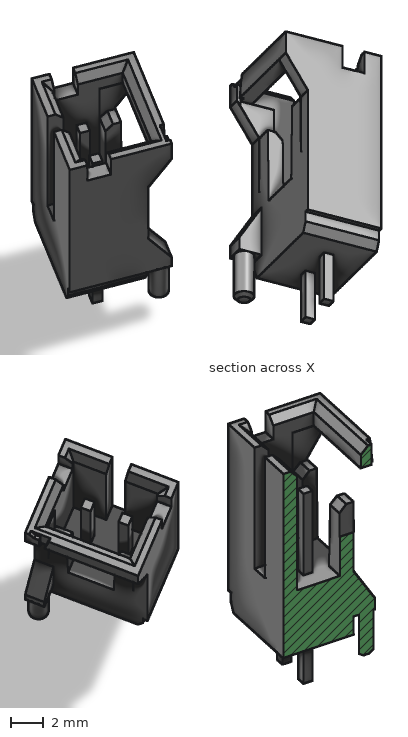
import cadquery as cq


width = 7.493
depth = 6.6
housing_height = 13.59
half_width = width / 2
front_y = -depth / 2
rear_y = depth / 2
overhang = 1.52
body_rear_y = rear_y - overhang

side_wall = 0.95
front_wall = 1.02
rear_wall = 1.03
floor_z = 4.69
funnel = 0.51
cavity_half_width = half_width - side_wall
cavity_front_y = front_y + front_wall
cavity_rear_y = rear_y - rear_wall
rear_bridge_height = 1.52

overhang_straight = 1.52
overhang_slope_end = 3.78
block_straight_z = 2.2

base_height = 1.33
base_inset = 0.3
base_chamfer_width = 0.33
base_chamfer_height = 0.64

slot_width = 1.25
notch_depth = 1.52
notch_front_y = -2.15
notch_rear_y = -0.63
window_half_width = 2.81
window_front_y = 0.76

post_height = 5.08
post_inner_x = 1.51
post_outer_x = 2.84
post_draft = 0.12
post_chamfer = 0.5

pin_pitch = 2.5
pin_size = 0.65
pin_y = -0.79
pin_tail = 3.3
pin_mating_length = 6.0

peg_diameter = 1.27
peg_bottom_z = -1.78
peg_chamfer = 0.25

mark_left_x = 2.17
mark_right_x = 3.46
mark_channel_left_x = 2.46
mark_channel_right_x = 2.82
mark_step_right_x = 3.13
mark_step_depth = 0.38
mark_depth = 0.25


def box(x0, x1, y0, y1, z0, z1):
    """Box between two opposite corners."""
    return cq.Workplane("XY").box(x1 - x0, y1 - y0, z1 - z0, centered=False).translate((x0, y0, z0))


def side_profile(points, x0, x1):
    """Closed outline of (y, z) points extruded from x0 to x1."""
    return cq.Workplane("YZ").polyline(points).close().extrude(x1 - x0).translate((x0, 0, 0))


def front_profile(points, y0, y1):
    """Closed outline of (x, z) points extruded from y0 to y1."""
    return cq.Workplane("XZ").polyline(points).close().extrude(y0 - y1).translate((0, y0, 0))


def make_outer_body():
    """Housing block with the rim overhang, standing on its narrower base."""
    shell = side_profile(
        [
            (front_y, base_height),
            (body_rear_y, base_height),
            (body_rear_y, housing_height - overhang_slope_end),
            (rear_y, housing_height - overhang_straight),
            (rear_y, housing_height),
            (front_y, housing_height),
        ],
        -half_width,
        half_width,
    )
    base_half = half_width - base_inset
    bottom_half = base_half - base_chamfer_width
    base = front_profile(
        [
            (-bottom_half, 0),
            (bottom_half, 0),
            (base_half, base_chamfer_height),
            (base_half, base_height),
            (-base_half, base_height),
            (-base_half, base_chamfer_height),
        ],
        front_y,
        body_rear_y,
    )
    return shell.union(base)


def make_cavity():
    """Mating cavity, open to the rear below the rim bridge."""
    pocket = box(
        -cavity_half_width, cavity_half_width, cavity_front_y, cavity_rear_y, floor_z, housing_height
    )
    window = box(
        -window_half_width,
        window_half_width,
        window_front_y,
        rear_y,
        floor_z,
        housing_height - rear_bridge_height,
    )
    return pocket.union(window)


def make_funnel():
    """Lead-in around the cavity mouth."""
    centre_y = (cavity_front_y + cavity_rear_y) / 2
    cavity_width = 2 * cavity_half_width
    cavity_depth = cavity_rear_y - cavity_front_y
    return (
        cq.Workplane("XY", origin=(0, centre_y, housing_height - funnel))
        .rect(cavity_width, cavity_depth)
        .workplane(offset=funnel)
        .rect(cavity_width + 2 * funnel, cavity_depth + 2 * funnel)
        .loft(ruled=True)
    )


def make_wall_openings():
    """Front slot down to the floor and the notch across both side walls."""
    slot = box(-slot_width / 2, slot_width / 2, front_y, cavity_front_y, floor_z, housing_height)
    notch = box(
        -half_width, half_width, notch_front_y, notch_rear_y, housing_height - notch_depth, housing_height
    )
    return slot.union(notch)


def make_mark():
    """Notch with a channel running out through the overhang and a shallow step beside it."""
    channel_z = housing_height - overhang_slope_end
    step_z = housing_height - mark_step_depth
    return front_profile(
        [
            (mark_left_x, housing_height),
            (mark_channel_left_x, housing_height - overhang_straight),
            (mark_channel_left_x, channel_z),
            (mark_channel_right_x, channel_z),
            (mark_channel_right_x, step_z),
            (mark_step_right_x, step_z),
            (mark_right_x, housing_height),
        ],
        rear_y - mark_depth,
        rear_y,
    )


def make_post():
    """Right-hand tapered post with a chamfered front top edge."""
    top_z = floor_z + post_height
    post = front_profile(
        [
            (post_inner_x, floor_z),
            (post_outer_x, floor_z),
            (post_outer_x - post_draft, top_z),
            (post_inner_x + post_draft, top_z),
        ],
        window_front_y,
        body_rear_y,
    )
    corner = side_profile(
        [
            (window_front_y, top_z - post_chamfer),
            (window_front_y + post_chamfer, top_z),
            (window_front_y, top_z),
        ],
        post_inner_x,
        post_outer_x,
    )
    return post.cut(corner)


def make_pin(x):
    """Square pin running from the solder tail up into the cavity."""
    half = pin_size / 2
    return box(x - half, x + half, pin_y - half, pin_y + half, -pin_tail, floor_z + pin_mating_length)


def make_locator():
    """Sloped block on the rear right corner with the round peg below it."""
    block = side_profile(
        [
            (body_rear_y, base_height),
            (rear_y, base_height),
            (rear_y, block_straight_z),
            (body_rear_y, floor_z),
        ],
        half_width - peg_diameter,
        half_width,
    )
    radius = peg_diameter / 2
    peg = (
        cq.Workplane("XY", origin=(half_width - radius, rear_y - radius, peg_bottom_z))
        .circle(radius)
        .extrude(base_height - peg_bottom_z)
        .faces("<Z")
        .chamfer(peg_chamfer)
    )
    return block.union(peg)


result = make_outer_body()
for opening in (make_cavity(), make_funnel(), make_wall_openings(), make_mark()):
    result = result.cut(opening)

right_post = make_post()
result = result.union(right_post).union(right_post.mirror("YZ"))
for pin_x in (-pin_pitch / 2, pin_pitch / 2):
    result = result.union(make_pin(pin_x))
result = result.union(make_locator())